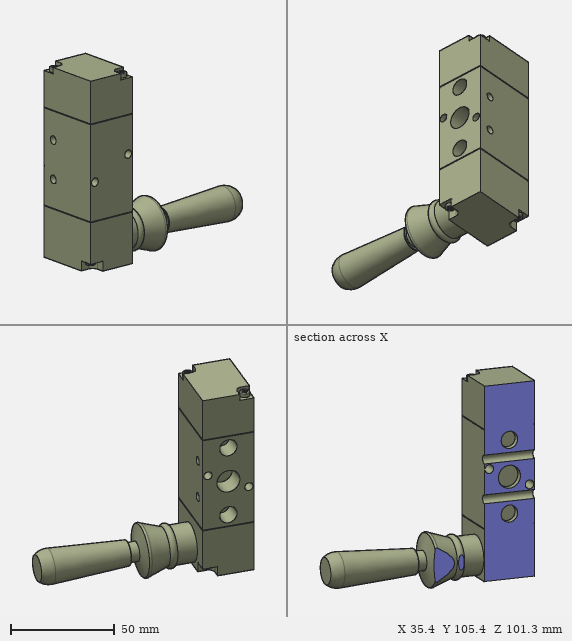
import cadquery as cq
import math

width = 35.4
depth = 26.5
lower_cap_height = 26.5
block_height = 50.0
upper_cap_height = 22.0
height = lower_cap_height + block_height + upper_cap_height
block_middle = lower_cap_height + block_height / 2

joint_gap = 0.3
joint_inset = 0.1

hole_diameter = 4.2
front_hole_x = 7.2 - width / 2
front_hole_offset = 10.0
side_hole_offset_y = 10.5
side_hole_offset_z = 5.0
outer_port_diameter = 8.9
outer_port_offset = 18.5
middle_port_diameter = 11.8
port_depth = 10.0
port_taper_ratio = 16
port_taper = math.degrees(math.atan(0.5 / port_taper_ratio))

upper_pocket = (6.9, 7.4, 3.3)
lower_pocket = (7.1, 7.7, 5.1)
pocket_radius = 3.2
screw_inset_x = 4.1
screw_inset_y = 3.4
screw_diameter = 5.0
screw_fillet = 0.4
upper_screw_height = 2.2
lower_screw_height = 1.6
recess_length = 2.7
recess_width = 0.8
recess_depth = 1.0

lever_z = 11.0
lever_end = 105.4
stem_radius = 10.0
ring_start = 36.5
ring_end = 40.4
ring_radius = 11.3
rim_start = 50.9
rim_peak = 51.5
rim_end = 52.3
rim_radius = 13.8
rim_start_radius = 13.6
rim_end_radius = 13.4
neck_start = 54.3
neck_radius = 10.0 / 2
grip_start = 58.9
grip_start_radius = 6.5
grip_chamfer = 0.3
dome_start = 99.0
dome_radius = 9.0
dome_middle = 102.6
dome_middle_radius = 8.4
tip_radius = 6.7


def joint_groove(z):
    """Shallow ring-shaped cut round the body, centred on height z."""
    outer = cq.Workplane("XY").rect(width, depth)
    inner = cq.Workplane("XY").rect(width - 2 * joint_inset, depth - 2 * joint_inset)
    ring = outer.extrude(joint_gap).cut(inner.extrude(joint_gap))
    return ring.translate((0, depth / 2, z - joint_gap / 2))


def side_port(diameter, z):
    """Tapered blind port entering the -X face."""
    return (
        cq.Workplane("YZ", origin=(-width / 2, depth / 2, z))
        .circle(diameter / 2)
        .extrude(port_depth, taper=port_taper)
    )


def corner_pocket(size):
    """Corner pocket with its outer corner at the origin and its depth running up Z."""
    length_x, length_y, pocket_depth = size
    return (
        cq.Workplane("XY")
        .rect(length_x, length_y, centered=False)
        .extrude(pocket_depth)
        .edges("|Z and >X and >Y")
        .fillet(pocket_radius)
    )


def cap_screw(head_height):
    """Screw head with a cross recess, standing up from Z = 0."""
    head = (
        cq.Workplane("XY", origin=(screw_inset_x, screw_inset_y, 0))
        .circle(screw_diameter / 2)
        .extrude(head_height)
        .faces(">Z")
        .edges()
        .fillet(screw_fillet)
    )
    recess = (
        cq.Workplane("XY", origin=(screw_inset_x, screw_inset_y, head_height - recess_depth))
        .rect(recess_length, recess_width)
        .extrude(recess_depth)
    )
    crossing = recess.rotate((screw_inset_x, screw_inset_y, 0), (screw_inset_x, screw_inset_y, 1), 90)
    return head.cut(recess).cut(crossing)


def turned_pair(corner_part):
    """The part and its copy turned half a turn about the vertical axis of the body."""
    placed = corner_part.translate((-width / 2, 0, 0))
    turned = placed.rotate((0, depth / 2, 0), (0, depth / 2, 1), 180)
    return placed.union(turned)


def upper_corners(corner_part):
    """Pair on the top face at -X-Y and +X+Y, seated on the pocket floor."""
    return turned_pair(corner_part).translate((0, 0, height - upper_pocket[2]))


def lower_corners(corner_part):
    """Pair on the bottom face at +X-Y and -X+Y, hanging from the pocket ceiling."""
    hanging = turned_pair(corner_part).rotate((0, depth / 2, 0), (0, depth / 2 + 1.1, 0), 180)
    return hanging.translate((0, 0, lower_pocket[2]))


def lever():
    """Stem, ring, flared rim, neck and grip, revolved as one profile of radius against Y."""
    profile = (
        cq.Workplane("XY")
        .moveTo(0, depth)
        .lineTo(stem_radius, depth)
        .lineTo(stem_radius, ring_start)
        .threePointArc((ring_radius, (ring_start + ring_end) / 2), (stem_radius, ring_end))
        .lineTo(rim_start_radius, rim_start)
        .threePointArc((rim_radius, rim_peak), (rim_end_radius, rim_end))
        .lineTo(neck_radius, neck_start)
        .lineTo(neck_radius, grip_start)
        .lineTo(grip_start_radius - grip_chamfer, grip_start)
        .lineTo(grip_start_radius, grip_start + grip_chamfer)
        .lineTo(dome_radius, dome_start)
        .threePointArc((dome_middle_radius, dome_middle), (tip_radius, lever_end))
        .lineTo(0, lever_end)
        .close()
    )
    return profile.revolve(360, (0, 0, 0), (0, 1, 0)).translate((0, 0, lever_z))


body = cq.Workplane("XY").box(width, depth, height, centered=(True, False, False))

for joint_z in (lower_cap_height, lower_cap_height + block_height):
    body = body.cut(joint_groove(joint_z))

for side in (-1, 1):
    front_hole = (
        cq.Workplane("XZ", origin=(front_hole_x, 0, block_middle + side * front_hole_offset))
        .circle(hole_diameter / 2)
        .extrude(-depth)
    )
    side_hole_y = depth / 2 + side * side_hole_offset_y
    side_hole_z = block_middle + side * side_hole_offset_z
    side_hole = (
        cq.Workplane("YZ", origin=(-width / 2, side_hole_y, side_hole_z))
        .circle(hole_diameter / 2)
        .extrude(width)
    )
    body = body.cut(front_hole).cut(side_hole)

body = body.cut(side_port(middle_port_diameter, block_middle))
for side in (-1, 1):
    body = body.cut(side_port(outer_port_diameter, block_middle + side * outer_port_offset))

body = body.cut(upper_corners(corner_pocket(upper_pocket)))
body = body.cut(lower_corners(corner_pocket(lower_pocket)))
body = body.union(upper_corners(cap_screw(upper_screw_height)))
body = body.union(lower_corners(cap_screw(lower_screw_height)))

result = body.union(lever())